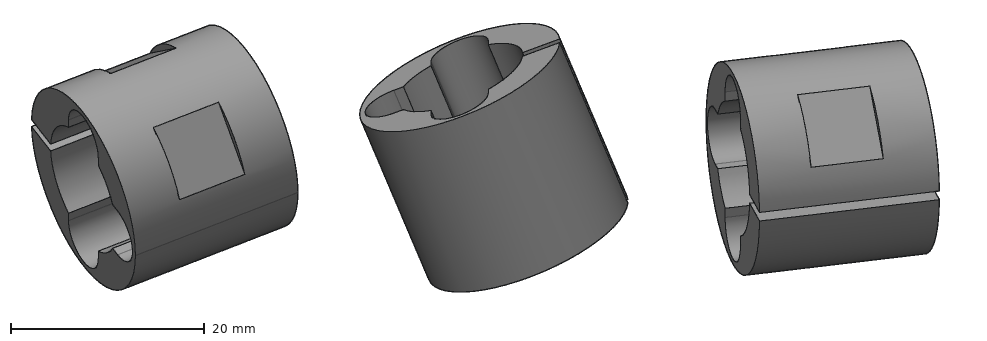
import cadquery as cq
import math

outer_radius = 11.12
length = 19.18
bore_radius = 7.0
split_width = 1.0

groove_radius = 3.18
groove_tip = 10.5
groove_angles = (-90, 0, 90)

flat_distance = 10.38
flat_length = 7.7
flat_angles = (45, 135)


def turn(shape, angle):
    """Turn a shape about the sleeve axis, from +X towards +Z."""
    return shape.rotate((0, 0, 0), (0, 1, 0), -angle)


def axial_cylinder(radius):
    return cq.Workplane("XZ").circle(radius).extrude(length / 2, both=True)


def groove():
    """Groove along +X, starting at the axis and ending in a half round."""
    centre_x = groove_tip - groove_radius
    return (
        cq.Workplane("XZ")
        .moveTo(0, -groove_radius)
        .lineTo(centre_x, -groove_radius)
        .threePointArc((groove_tip, 0), (centre_x, groove_radius))
        .lineTo(0, groove_radius)
        .close()
        .extrude(length / 2, both=True)
    )


def flat_cutter():
    """Block that mills one flat facing +X."""
    half_chord = math.sqrt(outer_radius**2 - flat_distance**2)
    block = cq.Workplane("XY").box(
        outer_radius, flat_length, 4 * half_chord, centered=(False, True, True)
    )
    return block.translate((flat_distance, 0, 0))


result = axial_cylinder(outer_radius).cut(axial_cylinder(bore_radius))

for angle in groove_angles:
    result = result.cut(turn(groove(), angle))

for angle in flat_angles:
    result = result.cut(turn(flat_cutter(), angle))

split = cq.Workplane("XY").box(
    outer_radius, length, split_width, centered=(False, True, True)
)
result = result.cut(turn(split, 180))